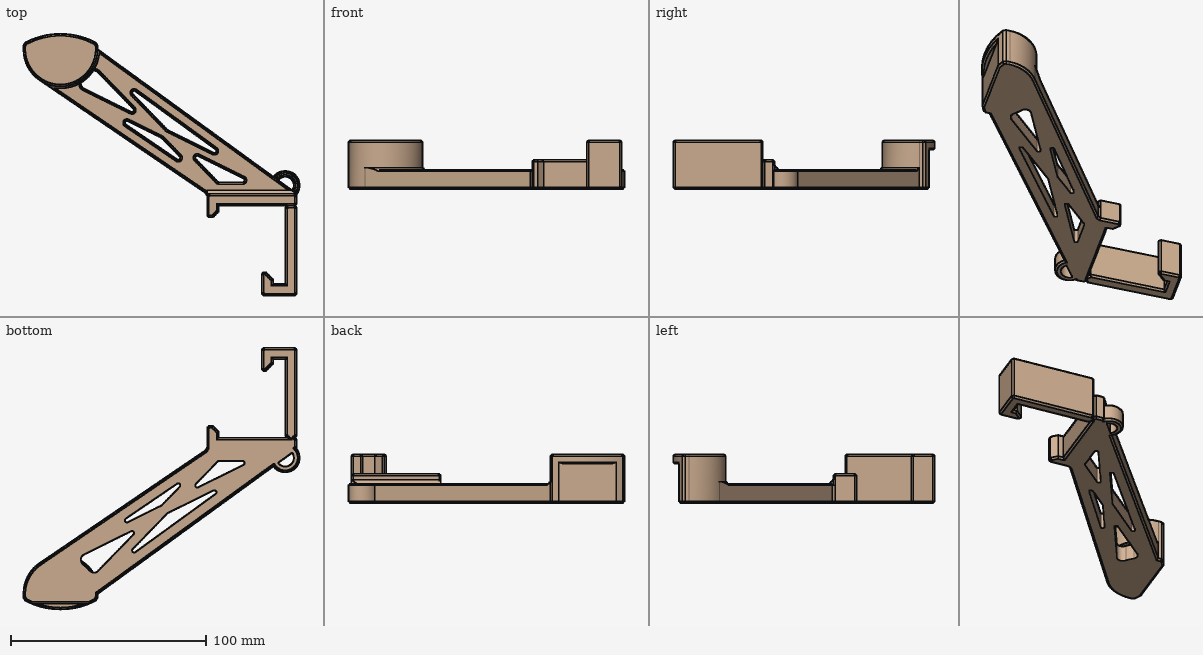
import cadquery as cq
import math

edge_break = 1.0
rim_chamfer = 1.0

wall = 6.0
clip_width = 46.0
clip_depth = 52.0
bar_height = 15.0
leg_height = 25.0
hook_length = 6.0
bar_hook_bevel = 3.0
foot_length = 18.0
foot_hook_bevel = 4.0

arm_height = 10.0
bar_fillet = 2.0
frame_width = 6.0
brace_width = 5.0
brace_crossing = (-67.7, 30.7)
steep_slope = -1.03
shallow_slope = -0.4955
window_corner_radius = 1.0
knob_window_radius = 3.0

knob_radius = 19.0
knob_center = (-121.0, 74.0)
knob_height = 25.0
back_rise = 8.0
back_radius = 38.0
lip_height = 5.0
lip_overhang = 3.0
lip_edge_break = 1.0
knob_fillet = 1.0

ring_offset_x = -6.0
ring_wall = 3.0

knob_x, knob_y = knob_center
knob_right = (knob_x + knob_radius, knob_y)
clip_corner = (0.0, 0.0)
bar_end = (-clip_width, 0.0)


def line_through(start, end):
    length = math.dist(start, end)
    return start, ((end[0] - start[0]) / length, (end[1] - start[1]) / length)


def line_with_slope(point, slope):
    return line_through(point, (point[0] + 1, point[1] + slope))


def shifted_left(line, distance):
    """The parallel line, moved to the left of its direction."""
    (x, y), (dx, dy) = line
    return (x - dy * distance, y + dx * distance), (dx, dy)


def meeting_point(first, second):
    (x1, y1), (dx1, dy1) = first
    (x2, y2), (dx2, dy2) = second
    along = ((x2 - x1) * dy2 - (y2 - y1) * dx2) / (dx1 * dy2 - dy1 * dx2)
    return x1 + along * dx1, y1 + along * dy1


def knob_tangent_point(start):
    """Where a line from the start point touches the knob's circle on its lower left side."""
    dx = start[0] - knob_x
    dy = start[1] - knob_y
    angle = math.atan2(dy, dx) - math.acos(knob_radius / math.hypot(dx, dy))
    return knob_x + knob_radius * math.cos(angle), knob_y + knob_radius * math.sin(angle)


def prism(points, height):
    return cq.Workplane("XY").polyline(points).close().extrude(height)


def square_corners_broken(points):
    """Bevel the outward square corners of a counter-clockwise outline."""
    outline = []
    for index, corner in enumerate(points):
        _, (in_x, in_y) = line_through(points[index - 1], corner)
        _, (out_x, out_y) = line_through(corner, points[(index + 1) % len(points)])
        turn = in_x * out_y - in_y * out_x
        if math.isclose(turn, 1.0):
            outline.append((corner[0] - in_x * edge_break, corner[1] - in_y * edge_break))
            outline.append((corner[0] + out_x * edge_break, corner[1] + out_y * edge_break))
        else:
            outline.append(corner)
    return outline


lower_tangent = knob_tangent_point(bar_end)
upper_edge = line_through(knob_right, clip_corner)
lower_edge = line_through(lower_tangent, bar_end)
arm_outline = [clip_corner, knob_right, knob_center, lower_tangent, bar_end]


def windows():
    upper_frame = shifted_left(upper_edge, -frame_width)
    lower_frame = shifted_left(lower_edge, frame_width)
    bar_frame = shifted_left(line_through(bar_end, clip_corner), frame_width)
    steep = line_with_slope(brace_crossing, steep_slope)
    shallow = line_with_slope(brace_crossing, shallow_slope)
    above_steep = shifted_left(steep, brace_width / 2)
    below_steep = shifted_left(steep, -brace_width / 2)
    above_shallow = shifted_left(shallow, brace_width / 2)
    below_shallow = shifted_left(shallow, -brace_width / 2)

    bounding_lines = [
        (above_steep, upper_frame, above_shallow),
        (below_shallow, lower_frame, below_steep),
        (above_steep, below_shallow, bar_frame),
    ]
    cutters = []
    for first, second, third in bounding_lines:
        corners = [meeting_point(first, second), meeting_point(second, third), meeting_point(third, first)]
        cutters.append(prism(corners, arm_height).edges("|Z").fillet(window_corner_radius))

    wedge = prism(
        [
            meeting_point(below_steep, above_shallow),
            meeting_point(below_steep, upper_frame),
            meeting_point(above_shallow, lower_frame),
        ],
        arm_height,
    )
    knob_space = cq.Workplane("XY").center(*knob_center).circle(knob_radius).extrude(arm_height)
    window = wedge.cut(knob_space)
    window = window.edges("|Z").edges("not >X").fillet(knob_window_radius)
    cutters.append(window.edges("|Z").edges(">X").fillet(window_corner_radius))
    return cutters


def flared(window):
    """A window cutter with its top rim sloping outwards."""
    rim = window.faces(">Z").wires().val()
    wide_rim = rim.offset2D(rim_chamfer)[0]
    lower_rim = rim.moved(cq.Location(cq.Vector(0, 0, -rim_chamfer)))
    return window.union(cq.Workplane(cq.Solid.makeLoft([lower_rim, wide_rim], True)))


def arm():
    plate = prism(arm_outline, arm_height)
    for start, end in ((knob_right, clip_corner), (lower_tangent, bar_end)):
        middle = ((start[0] + end[0]) / 2, (start[1] + end[1]) / 2, arm_height)
        plate = plate.edges(cq.selectors.NearestToPointSelector(middle)).chamfer(rim_chamfer)

    skirt_height = knob_fillet + rim_chamfer
    knob_skirt = (
        cq.Workplane("XY", origin=(knob_x, knob_y, arm_height - rim_chamfer))
        .circle(knob_radius + skirt_height)
        .extrude(skirt_height, taper=45)
    )
    top = arm_height + bar_fillet
    bar_skirt = (
        cq.Workplane("YZ")
        .polyline([(0, 0), (bar_fillet, 0), (bar_fillet, arm_height), (0, top)])
        .close()
        .extrude(-clip_width)
    )
    arm_space = prism(arm_outline, top)
    plate = plate.union(knob_skirt.intersect(arm_space)).union(bar_skirt.intersect(arm_space))
    for window in windows():
        plate = plate.cut(flared(window))
    return plate


def arm_end_gusset():
    """Small bevel filling the corner between the arm's lower side and the end of the bar."""
    _, (dx, dy) = lower_edge
    x, y = bar_end
    corners = [
        (x + edge_break, y),
        (x - dx * edge_break, y - dy * edge_break),
        (x, y - edge_break),
    ]
    return prism(corners, arm_height - rim_chamfer)


def knob():
    back_corner_y = back_rise - back_radius + math.sqrt(back_radius**2 - knob_radius**2)
    body = (
        cq.Workplane("XY")
        .moveTo(-knob_radius, 0)
        .threePointArc((0, -knob_radius), (knob_radius, 0))
        .lineTo(knob_radius, back_corner_y)
        .threePointArc((0, back_rise), (-knob_radius, back_corner_y))
        .close()
        .extrude(knob_height)
    )
    body = body.edges("|Z").edges(">Y").chamfer(edge_break)
    body = body.faces(">Z").edges().chamfer(edge_break)

    lip_underside = knob_height - lip_height
    flat_y = back_rise - lip_overhang
    groove = (
        cq.Workplane("XY")
        .rect(2 * knob_radius, 2 * lip_overhang)
        .extrude(lip_underside)
        .translate((0, flat_y + lip_overhang, 0))
    )
    body = body.cut(groove)
    lip_edge = cq.selectors.NearestToPointSelector((0, back_rise, lip_underside))
    body = body.edges(lip_edge).chamfer(lip_edge_break)
    return body.translate((knob_x, knob_y, 0))


def cable_ring():
    ring_y = ring_offset_x * upper_edge[1][1] / upper_edge[1][0]
    outer_radius = math.hypot(ring_offset_x, ring_y)
    ring = (
        cq.Workplane("XY")
        .circle(outer_radius)
        .circle(outer_radius - ring_wall)
        .extrude(arm_height)
        .faces(">Z")
        .edges()
        .chamfer(rim_chamfer)
        .translate((ring_offset_x, ring_y, 0))
    )
    return ring.cut(prism(arm_outline, arm_height))


def clip_bar():
    hook_tip = -wall - hook_length
    hook_inside = wall - clip_width
    outline = [
        (0, 0),
        (-clip_width, 0),
        (-clip_width, hook_tip),
        (hook_inside - bar_hook_bevel, hook_tip),
        (hook_inside, hook_tip + bar_hook_bevel),
        (hook_inside, -wall),
        (0, -wall),
    ]
    bar = prism(square_corners_broken(outline), bar_height)
    return bar.faces(">Z").edges().chamfer(edge_break)


def clip_leg():
    foot_inside = wall - clip_depth
    hook_tip = foot_inside + hook_length
    hook_inside = wall - foot_length
    outline = [
        (0, -wall),
        (-wall, -wall),
        (-wall, foot_inside),
        (hook_inside, foot_inside),
        (hook_inside, hook_tip - foot_hook_bevel),
        (hook_inside - foot_hook_bevel, hook_tip),
        (-foot_length, hook_tip),
        (-foot_length, -clip_depth),
        (0, -clip_depth),
    ]
    leg = prism(square_corners_broken(outline), leg_height)
    return leg.faces(">Z").edges().chamfer(edge_break)


result = arm().union(arm_end_gusset()).union(knob()).union(cable_ring()).union(clip_bar()).union(clip_leg())
underside_outline = result.faces("<Z").val().outerWire()
result = result.newObject(underside_outline.Edges()).chamfer(edge_break)